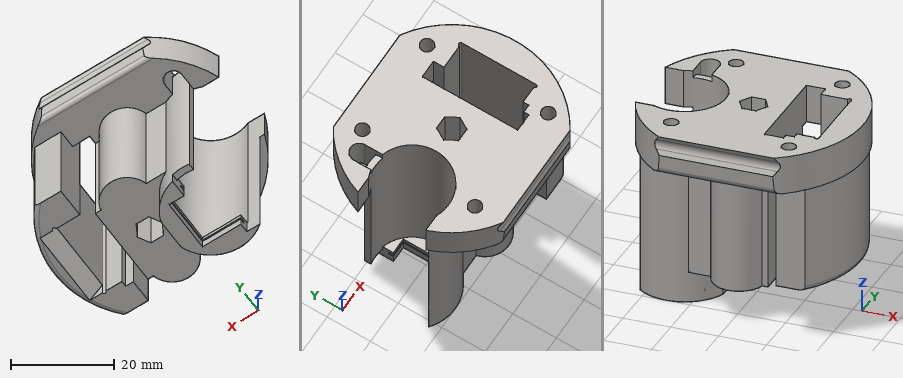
import cadquery as cq
import math


overall_length = 44.6
overall_width = 39.4
mouth_half_width = 7.8
mouth_end_x = -17.5
plate_radius = (overall_length**2 + mouth_half_width**2) / (2 * overall_length)
plate_thickness = 8.0
ridge_half_width = overall_width / 2
top_half_width = 19.6
lower_half_width = 19.55
groove_shoulder_half_width = 19.2
groove_half_width = 18.85
groove_top = 0.95
groove_bottom = 3.0
ridge_depth = 4.0
edge_fillet = 1.0

tube_x = -14.35
tube_outer_radius = 10.0
bore_radius = 8.5
tube_bottom = 41.0
tube_flat_x = -5.0
floor_top = 37.5
terminal_half_width = 5.75
terminal_end_x = -8.48
slit_top = 38.5
slit_height = 0.5
slit_overcut = 1.05

slot_left = -16.05
slot_right = -12.05
slot_end_y = 14.3
slot_wall_drop = 1.45

block_right = 6.6
block_half_width = 9.0
block_bottom = 34.5
bulge_radius = 5.5
bulge_offset = 7.67
hex_across_flats = 5.1

pocket_left = block_right
pocket_step_x = 10.6
pocket_right = 17.0
wide_half_width = 10.97
narrow_half_width = 8.5
notch_right = 12.4
notch_half_width = 9.8
relief_diameter = 0.8
wall_radius = 22.5
wall_half_width = 15.0
wall_bottom = 30.45
wall_chamfer = 3.0

screw_diameter = 3.0
screw_depth = 6.0
drill_tip_angle = 118.0
screw_places = [(-9.5, 14.5), (12.95, 13.9), (12.95, -13.95), (-12.05, -13.03)]


def block_between(x0, x1, y0, y1, top, bottom):
    """Box between two X, two Y and two depths."""
    return (
        cq.Workplane("XY")
        .box(x1 - x0, y1 - y0, bottom - top, centered=False)
        .translate((x0, y0, -bottom))
    )


def post(x, y, radius, top, bottom):
    """Upright cylinder between two depths."""
    return cq.Workplane("XY").center(x, y).circle(radius).extrude(top - bottom).translate((0, 0, -top))


def make_plate():
    """Disc trimmed by a grooved outline that runs along X."""
    bevel = edge_fillet * math.sqrt(0.5)
    fillet_mid = (lower_half_width - edge_fillet + bevel, edge_fillet - bevel - plate_thickness)
    groove_mid = (groove_half_width, -(groove_top + groove_bottom) / 2)
    half_profile = (
        cq.Workplane("YZ")
        .lineTo(top_half_width, 0)
        .lineTo(groove_shoulder_half_width, -groove_top)
        .threePointArc(groove_mid, (groove_shoulder_half_width, -groove_bottom))
        .lineTo(ridge_half_width, -ridge_depth)
        .lineTo(lower_half_width, edge_fillet - plate_thickness)
        .threePointArc(fillet_mid, (lower_half_width - edge_fillet, -plate_thickness))
        .lineTo(0, -plate_thickness)
        .close()
        .extrude(plate_radius, both=True)
    )
    profile = half_profile.union(half_profile.mirror("XZ"))
    return post(0, 0, plate_radius, 0, plate_thickness).intersect(profile)


def make_tube():
    """Outside of the tube, with its flat and the side cut away beside the wire slot."""
    tube = post(tube_x, 0, tube_outer_radius, slot_wall_drop, tube_bottom)
    tube_right = tube_x + tube_outer_radius
    tube_left = tube_x - tube_outer_radius
    tube = tube.cut(
        block_between(tube_flat_x, tube_right, -tube_outer_radius, tube_outer_radius, 0, tube_bottom)
    )
    side = block_between(tube_left, slot_left, 0, tube_outer_radius, 0, tube_bottom)
    end = block_between(slot_left, slot_right, 0, tube_outer_radius, slit_top, tube_bottom)
    return tube.cut(side).cut(end)


def make_block():
    """Central block, joined to the tube on its -X side."""
    block = block_between(slot_right, block_right, -block_half_width, block_half_width, 0, block_bottom)
    for y in (-bulge_offset, bulge_offset):
        block = block.union(post(0, y, bulge_radius, 0, block_bottom))
    return block


def make_wall():
    """Rounded wall around the socket pocket, filleted along its lower outer edge."""
    wall = post(0, 0, wall_radius, 0, wall_bottom).faces("<Z").edges().fillet(edge_fillet)
    return wall.intersect(
        block_between(pocket_step_x, wall_radius, -wall_half_width, wall_half_width, 0, wall_bottom)
    )


def pocket_cut():
    """Stepped socket pocket with round corner reliefs and a bevelled lower edge."""
    cut = block_between(pocket_left, pocket_step_x, -wide_half_width, wide_half_width, 0, wall_bottom)
    cut = cut.union(
        block_between(pocket_step_x, pocket_right, -narrow_half_width, narrow_half_width, 0, wall_bottom)
    )
    cut = cut.union(block_between(pocket_step_x, notch_right, -notch_half_width, 0, 0, wall_bottom))
    relief_radius = relief_diameter / 2
    for y in (-narrow_half_width, narrow_half_width):
        cut = cut.union(post(pocket_right - relief_radius, y, relief_radius, 0, wall_bottom))
    bevel = (
        cq.Workplane("XZ")
        .moveTo(pocket_right, wall_chamfer - wall_bottom)
        .lineTo(pocket_right + wall_chamfer, -wall_bottom)
        .lineTo(pocket_right, -wall_bottom)
        .close()
        .extrude(narrow_half_width, both=True)
    )
    return cut.union(bevel)


def bore_cut():
    """Bore and mouth, the floor opening, the wire passage beside it and the slit across it."""
    cut = post(tube_x, 0, bore_radius, 0, floor_top)
    tube_left = tube_x - tube_outer_radius
    mouth = block_between(tube_left, mouth_end_x, -mouth_half_width, mouth_half_width, 0, tube_bottom)
    cut = cut.union(mouth)
    cut = cut.union(
        block_between(
            mouth_end_x, terminal_end_x, -terminal_half_width, terminal_half_width, floor_top, tube_bottom
        )
    )
    passage = post(tube_x, 0, bore_radius, floor_top, slit_top).intersect(
        block_between(mouth_end_x, slot_right, 0, bore_radius, floor_top, slit_top)
    )
    cut = cut.union(passage)
    slit_half_width = terminal_half_width + slit_overcut
    slit_end_x = terminal_end_x + slit_overcut
    slit_bottom = slit_top + slit_height
    return cut.union(
        block_between(mouth_end_x, slit_end_x, -slit_half_width, slit_half_width, slit_top, slit_bottom)
    )


def slot_cut():
    """Round-ended wire slot from the bore outward through the plate."""
    radius = (slot_right - slot_left) / 2
    center_y = slot_end_y - radius
    slot = block_between(slot_left, slot_right, 0, center_y, 0, plate_thickness)
    return slot.union(post((slot_left + slot_right) / 2, center_y, radius, 0, plate_thickness))


def hex_cut():
    """Hexagonal hole through the central block, with two sides facing Y."""
    across_corners = hex_across_flats / math.cos(math.radians(30))
    return cq.Workplane("XY").polygon(6, across_corners).extrude(-block_bottom)


def screw_hole_cut(x, y):
    """Blind hole with a pointed drill tip."""
    radius = screw_diameter / 2
    tip_height = radius / math.tan(math.radians(drill_tip_angle / 2))
    return (
        cq.Workplane("XZ")
        .lineTo(radius, 0)
        .lineTo(radius, -screw_depth)
        .lineTo(0, -screw_depth - tip_height)
        .close()
        .revolve(360, (0, 0), (0, 1))
        .translate((x, y, 0))
    )


def make_housing():
    """Plate, tube, block and wall in one piece."""
    housing = make_plate().cut(slot_cut())
    housing = housing.union(make_tube()).union(make_block()).union(make_wall())
    housing = housing.cut(bore_cut()).cut(pocket_cut()).cut(hex_cut())
    for x, y in screw_places:
        housing = housing.cut(screw_hole_cut(x, y))
    return housing


housing = make_housing()

result = cq.Compound.makeCompound([housing.val()])